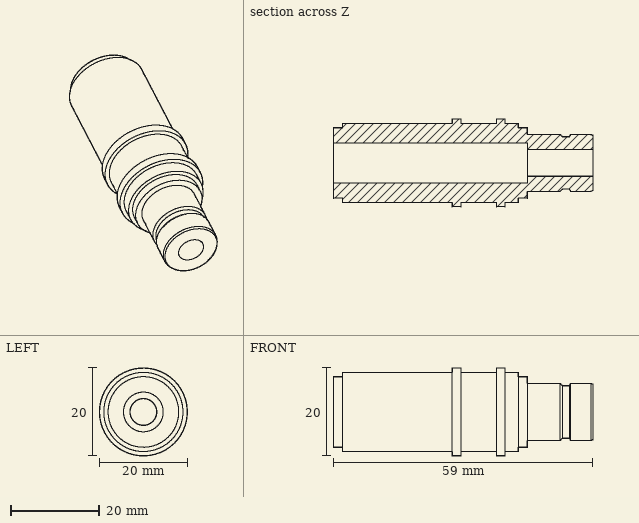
import cadquery as cq

total_length = 59.0
end_step_length = 2.0
body_length = 40.0
collar_width = 2.0
collar_starts = (26.95, 37.0)
body_end = end_step_length + body_length
shoulder_end = body_end + end_step_length

collar_diameter = 20.0
body_diameter = 18.0
end_step_diameter = 16.05
spigot_diameter = 13.05

groove_diameter = 12.0
groove_start = 51.45
groove_end = 53.85
groove_start_slope = 0.55
groove_end_slope = 0.3

tip_chamfer_length = 0.55
tip_chamfer_depth = 0.25

bore_diameter = 9.0
bore_depth = shoulder_end
passage_diameter = 6.0


def cylinder(start, end, diameter):
    """Cylinder on the X axis between two positions."""
    return cq.Workplane("YZ", origin=(start, 0, 0)).circle(diameter / 2).extrude(end - start)


def spigot():
    """Grooved spigot with a chamfered tip, revolved about the X axis."""
    outer_radius = spigot_diameter / 2
    groove_radius = groove_diameter / 2
    profile = [
        (body_end, 0),
        (body_end, outer_radius),
        (groove_start, outer_radius),
        (groove_start + groove_start_slope, groove_radius),
        (groove_end - groove_end_slope, groove_radius),
        (groove_end, outer_radius),
        (total_length - tip_chamfer_length, outer_radius),
        (total_length, outer_radius - tip_chamfer_depth),
        (total_length, 0),
    ]
    return cq.Workplane("XY").polyline(profile).close().revolve(360, (0, 0, 0), (1, 0, 0))


result = cylinder(0, shoulder_end, end_step_diameter)
result = result.union(cylinder(end_step_length, body_end, body_diameter))

for start in collar_starts:
    result = result.union(cylinder(start, start + collar_width, collar_diameter))

result = result.union(spigot())

result = result.cut(cylinder(0, bore_depth, bore_diameter))
result = result.cut(cylinder(0, total_length, passage_diameter))